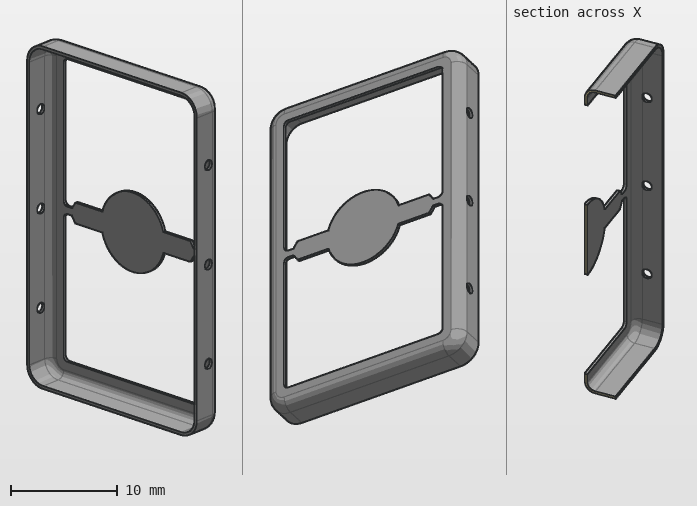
import cadquery as cq

WIDTH = 21.5
DEPTH = 3.2
HEIGHT = 34.5
WALL = 0.3
CORNER_RADIUS = 2.0
EDGE_RADIUS = 1.1

FRAME_BORDER = 2.0
WINDOW_CORNER_RADIUS = 0.52
WINDOW_WIDTH = WIDTH - 2 * FRAME_BORDER
WINDOW_HEIGHT = HEIGHT - 2 * FRAME_BORDER

DISC_DIAMETER = 8.0
BAR_HEIGHT = 2.1
NECK_HEIGHT = 0.75
NECK_LENGTH = 1.05
TAPER_LENGTH = 0.45

HOLE_DIAMETER = 1.0
HOLE_SPACING = 10.0
HOLE_COUNT = 3


def block(width, height, y_start, y_end):
    """Block centred on the Y axis, spanning y_start to y_end."""
    depth = y_end - y_start
    return cq.Workplane("XY").box(width, depth, height).translate((0, (y_start + y_end) / 2, 0))


def rounded_block(inset, y_end):
    """Block with rounded corners and a rounded +Y edge, offset inward by inset."""
    body = block(WIDTH - 2 * inset, HEIGHT - 2 * inset, 0, y_end)
    body = body.edges("|Y").fillet(CORNER_RADIUS - inset)
    return body.faces(">Y").edges().fillet(EDGE_RADIUS - inset)


def carrier(y_start, y_end):
    """Disc and its bar, whose ends taper down to the neck height."""
    half_bar = BAR_HEIGHT / 2
    half_neck = NECK_HEIGHT / 2
    taper_start = WINDOW_WIDTH / 2 - NECK_LENGTH - TAPER_LENGTH
    taper_end = WINDOW_WIDTH / 2 - NECK_LENGTH
    plane = cq.Workplane("XZ", origin=(0, y_end, 0))
    upper_half = (
        plane.moveTo(-taper_end, 0)
        .lineTo(-taper_end, half_neck)
        .lineTo(-taper_start, half_bar)
        .lineTo(taper_start, half_bar)
        .lineTo(taper_end, half_neck)
        .lineTo(taper_end, 0)
        .close()
        .extrude(y_end - y_start)
    )
    disc = plane.circle(DISC_DIAMETER / 2).extrude(y_end - y_start)
    return upper_half.union(upper_half.mirror("XY")).union(disc)


def window_cutter():
    """Two openings left around the disc, bar and necks."""
    y_start = DEPTH / 2
    y_end = DEPTH + WALL
    cutter = block(WINDOW_WIDTH, WINDOW_HEIGHT, y_start, y_end)
    cutter = cutter.cut(block(WINDOW_WIDTH, NECK_HEIGHT, y_start, y_end))
    cutter = cutter.edges("|Y").fillet(WINDOW_CORNER_RADIUS)
    return cutter.cut(carrier(y_start, y_end))


def side_holes():
    """Row of holes along Z, running across the full width."""
    return (
        cq.Workplane("YZ", origin=(-WIDTH / 2, DEPTH / 2, 0))
        .rarray(0.35, HOLE_SPACING, 1, HOLE_COUNT)
        .circle(HOLE_DIAMETER / 2)
        .extrude(WIDTH)
    )


tray = rounded_block(0, DEPTH).cut(rounded_block(WALL, DEPTH - WALL))
result = tray.cut(window_cutter()).cut(side_holes())